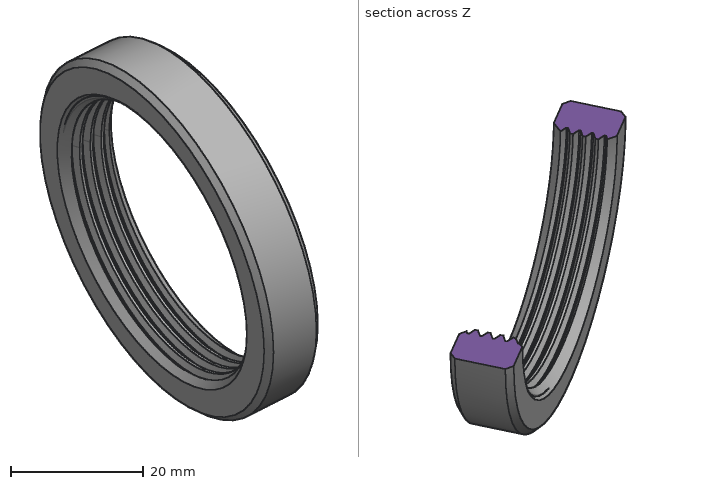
import cadquery as cq
import math

outer_radius = 30.0
width = 10.0
outer_chamfer = 1.0

pitch = 2.0
major_radius = 24.0
thread_depth = 5 / 8 * math.sqrt(3) / 2 * pitch
minor_radius = major_radius - thread_depth
root_width = pitch / 8
crest_width = pitch / 4
flank_width = (pitch - root_width - crest_width) / 2
start_depth = 0.3

mouth_radius = 24.5
lead_depth = mouth_radius - minor_radius

rough_radius = 21.6
cutter_inner_radius = 20.4


def make_ring():
    """Rough ring along Z, chamfered inside and out, with its front face at Z = 0."""
    lead_end = lead_depth + minor_radius - rough_radius
    return cq.Workplane("XZ").polyline([
        (mouth_radius, 0),
        (outer_radius - outer_chamfer, 0),
        (outer_radius, outer_chamfer),
        (outer_radius, width - outer_chamfer),
        (outer_radius - outer_chamfer, width),
        (mouth_radius, width),
        (rough_radius, width - lead_end),
        (rough_radius, lead_end),
    ]).close().revolve(360, (0, 0), (0, 1))


def helix_turn(radius, z):
    """One right-hand turn of the thread helix, starting at -X at height z."""
    turn = cq.Wire.makeHelix(pitch, pitch, radius, cq.Vector(0, 0, z))
    return turn.rotate(cq.Vector(), cq.Vector(0, 0, 1), 180).Edges()[0]


def helical_strip(lower, upper):
    """One-turn face between the helices through two (radius, z) points."""
    return cq.Face.makeRuledSurface(helix_turn(*lower), helix_turn(*upper))


def make_thread_cutter():
    """Solid helical sleeve whose outside is the thread form, longer than the ring."""
    start = start_depth - root_width / 2 - flank_width - 2 * pitch
    turns = math.ceil((width - start) / pitch) + 1
    end = start + turns * pitch

    def section(z):
        """Thread form over one pitch, from the end of one crest to the next."""
        groove_start = z + flank_width
        groove_end = groove_start + root_width
        crest_start = groove_end + flank_width
        return [
            (minor_radius, z),
            (major_radius, groove_start),
            (major_radius, groove_end),
            (minor_radius, crest_start),
            (minor_radius, z + pitch),
        ]

    def end_face(z):
        """Flat step that joins the first and last edge of a helical end at -X."""
        outline = [(cutter_inner_radius, z), *section(z), (cutter_inner_radius, z + pitch)]
        points = [cq.Vector(-radius, 0, height) for radius, height in outline]
        return cq.Face.makeFromWires(cq.Wire.makePolygon(points, close=True))

    faces = [end_face(start), end_face(end)]
    for z in (start, end):
        faces.append(helical_strip((cutter_inner_radius, z), (minor_radius, z)))
    for turn in range(turns):
        z = start + turn * pitch
        form = section(z)
        faces += [helical_strip(lower, upper) for lower, upper in zip(form, form[1:])]
        faces.append(helical_strip((cutter_inner_radius, z), (cutter_inner_radius, z + pitch)))
    return cq.Solid.makeSolid(cq.Shell.makeShell(faces))


threaded_ring = make_ring().cut(cq.Workplane(obj=make_thread_cutter())).solids()

result = threaded_ring.translate((0, 0, -width / 2)).rotate((0, 0, 0), (1, 0, 0), -90)